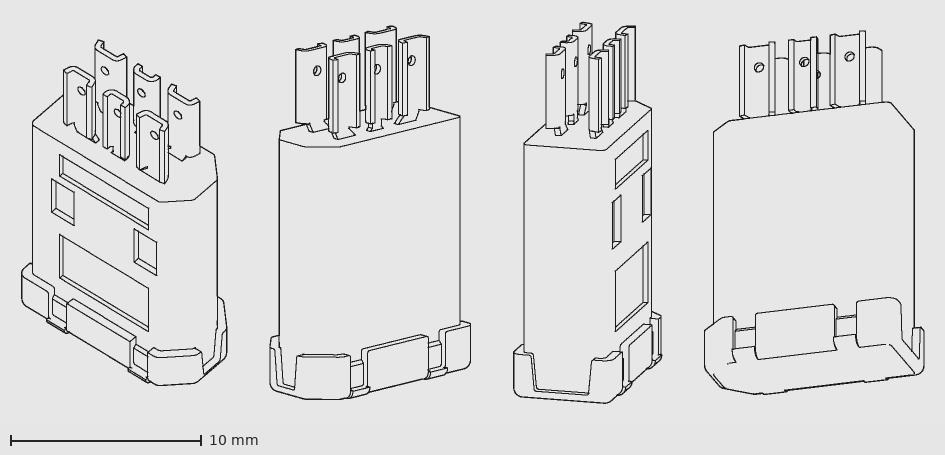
import cadquery as cq
import math

total_height = 18.2
body_top = 13.7
collar_height = 2.42

body_length, body_width, body_bevel = 10.14, 4.5, 1.27
body_corner_radius = 0.31
collar_length, collar_width, collar_bevel = 11.0, 5.46, 1.5
collar_corner_radius = 0.51
collar_bottom_radius = 0.5

opening_floor = collar_bottom_radius
opening_radius = 0.13
opening_overrun = 0.55
end_opening_taper = 0.18
rear_opening_width = 3.31
tip_opening_width = 1.7

clip_x = 2.78
clip_width = 1.22
clip_reach = 5.8 / 2
clip_block_reach = 2.42
clip_block_top = 1.85
clip_embed = 0.18

label_width, label_depth = 6.06, 0.25
upper_label_bottom, upper_label_top = 11.1, 12.72
lower_label_bottom, lower_label_top = 3.37, 6.66
window_x, window_width, window_depth = 2.82, 1.53, 0.36
window_bottom, window_top = 7.99, 10.52

terminal_pitch = 2.5
terminal_inner_y = 0.8
terminal_thickness = 0.31
wing_bottom = 14.23
terminal_hole_diameter = 0.51
terminal_hole_z = 17.0
outer_flat, outer_bend_radius, outer_wing_angle, outer_wing_depth = 1.02, 0.38, 75, 0.71
middle_flat, middle_bend_radius, middle_wing_angle, middle_wing_depth = 0.65, 0.44, 90, 0.64
middle_foot_width, middle_foot_height = 0.93, 0.15
outer_foot_inset = 0.22
outer_foot_flare = 0.45
outer_foot_height = 0.44


def beveled_block(length, width, bevel, corner_radius, height):
    """Rectangular block with both +X corners bevelled and all upright edges rounded."""
    half_x, half_y = length / 2, width / 2
    outline = [
        (-half_x, -half_y),
        (half_x - bevel, -half_y),
        (half_x, bevel - half_y),
        (half_x, half_y - bevel),
        (half_x - bevel, half_y),
        (-half_x, half_y),
    ]
    block = cq.Workplane("XY").polyline(outline).close().extrude(height)
    return block.edges("|Z").fillet(corner_radius)


def opening_cutter(bottom_width, top_width, rounded_mouth=True):
    """Opening tool reaching outward along -Y from the XZ plane, with rounded corners."""
    bottom, top = bottom_width / 2, top_width / 2
    head = top + (opening_overrun if rounded_mouth else 0)
    head_top = collar_height + opening_overrun
    right_side = [(bottom, opening_floor), (top, collar_height)]
    if rounded_mouth:
        right_side.append((head, collar_height))
    right_side.append((head, head_top))
    left_side = [(-x, z) for x, z in reversed(right_side)]
    cutter = cq.Workplane("XZ").polyline(right_side + left_side).close().extrude(collar_width / 4)
    return cutter.edges("|Y").fillet(opening_radius)


def end_opening(top_width, turn):
    """Tapered opening tool starting at one X end of the body."""
    cutter = opening_cutter(top_width - 2 * end_opening_taper, top_width)
    return cutter.translate((0, -body_length / 2, 0)).rotate((0, 0, 0), (0, 0, 1), turn)


def clip(x):
    """Clip on the -Y side: a foot rounded underneath with a thinner block standing on it."""
    root = body_width / 2 - clip_embed
    face = body_width / 2
    slope = clip_block_reach - face
    radius = collar_bottom_radius
    arc_center_y = radius - clip_reach
    arc_offset = radius * math.sqrt(0.5)
    profile = (
        cq.Workplane("YZ")
        .moveTo(-root, 0)
        .lineTo(arc_center_y, 0)
        .threePointArc((arc_center_y - arc_offset, radius - arc_offset), (-clip_reach, radius))
        .lineTo(-clip_block_reach, opening_floor)
        .lineTo(-clip_block_reach, clip_block_top - slope)
        .lineTo(-face, clip_block_top)
        .lineTo(-root, clip_block_top)
        .close()
    )
    bar = profile.extrude(clip_width / 2, both=True)
    return bar.translate((x, 0, 0))


def recess(x, width, bottom, top, depth):
    """Rectangular recess tool in the -Y face of the body."""
    size_z = top - bottom
    box = cq.Workplane("XY").box(width, depth, size_z, centered=(True, False, False))
    return box.translate((x, -body_width / 2, bottom))


def channel(flat, bend_radius, wing_angle, wing_depth):
    """Upright U channel, open toward -Y, with its flat back against the XZ plane."""
    inner_radius = bend_radius - terminal_thickness
    angle = math.radians(wing_angle)
    rise = bend_radius - inner_radius * math.cos(angle)
    wing_length = (wing_depth - rise) / math.sin(angle)
    bend_x = flat / 2

    def on_bend(radius, turn):
        return (bend_x + radius * math.sin(turn), radius * math.cos(turn) - bend_radius)

    def tip(radius):
        x, y = on_bend(radius, angle)
        return (x + wing_length * math.cos(angle), y - wing_length * math.sin(angle))

    half = (
        cq.Workplane("XY", origin=(0, 0, wing_bottom))
        .moveTo(0, 0)
        .lineTo(bend_x, 0)
        .threePointArc(on_bend(bend_radius, angle / 2), on_bend(bend_radius, angle))
        .lineTo(*tip(bend_radius))
        .lineTo(*tip(inner_radius))
        .lineTo(*on_bend(inner_radius, angle))
        .threePointArc(on_bend(inner_radius, angle / 2), (bend_x, -terminal_thickness))
        .lineTo(0, -terminal_thickness)
        .close()
        .extrude(total_height - wing_bottom)
    )
    return half.union(half.mirror("YZ"))


def terminal(profile, foot_outline):
    """Channel with a flat foot running down into the body and a hole through its back."""
    foot = cq.Workplane("XZ").polyline(foot_outline).close().extrude(terminal_thickness)
    hole = (
        cq.Workplane("XZ")
        .center(0, terminal_hole_z)
        .circle(terminal_hole_diameter / 2)
        .extrude(terminal_thickness)
    )
    return profile.union(foot).cut(hole).translate((0, -terminal_inner_y, 0))


def outer_terminal():
    """Terminal of the -X column; its foot leans toward the middle column."""
    half = outer_flat / 2
    foot = [
        (-half, wing_bottom),
        (-half, body_top + outer_foot_height),
        (outer_foot_inset - half, body_top),
        (half + outer_foot_flare, body_top),
        (half, body_top + outer_foot_height),
        (half, wing_bottom),
    ]
    profile = channel(outer_flat, outer_bend_radius, outer_wing_angle, outer_wing_depth)
    return terminal(profile, foot).translate((-terminal_pitch, 0, 0))


def middle_terminal():
    """Terminal of the middle column with a short symmetric flare at its foot."""
    half = middle_flat / 2
    right_side = [
        (middle_foot_width / 2, body_top),
        (half, body_top + middle_foot_height),
        (half, wing_bottom),
    ]
    left_side = [(-x, z) for x, z in reversed(right_side)]
    profile = channel(middle_flat, middle_bend_radius, middle_wing_angle, middle_wing_depth)
    return terminal(profile, right_side + left_side)


collar = beveled_block(collar_length, collar_width, collar_bevel, collar_corner_radius, collar_height)
collar = collar.faces("<Z").edges().fillet(collar_bottom_radius)
collar = collar.cut(end_opening(rear_opening_width, -90))
collar = collar.cut(end_opening(tip_opening_width, 90))

for x in (-clip_x, clip_x):
    for side in (-1, 1):
        rounded = not (x > 0 and side < 0)
        cutter = opening_cutter(clip_width, clip_width, rounded).translate((x, -body_width / 2, 0))
        collar = collar.cut(cutter if side < 0 else cutter.mirror("XZ"))

body = beveled_block(body_length, body_width, body_bevel, body_corner_radius, body_top)
body = body.cut(recess(0, label_width, upper_label_bottom, upper_label_top, label_depth))
body = body.cut(recess(0, label_width, lower_label_bottom, lower_label_top, label_depth))
for x in (-window_x, window_x):
    body = body.cut(recess(x, window_width, window_bottom, window_top, window_depth))

result = body.union(collar)

for x in (-clip_x, clip_x):
    result = result.union(clip(x)).union(clip(x).mirror("XZ"))

outer = outer_terminal()
for pin in (outer, middle_terminal(), outer.mirror("YZ")):
    result = result.union(pin).union(pin.mirror("XZ"))